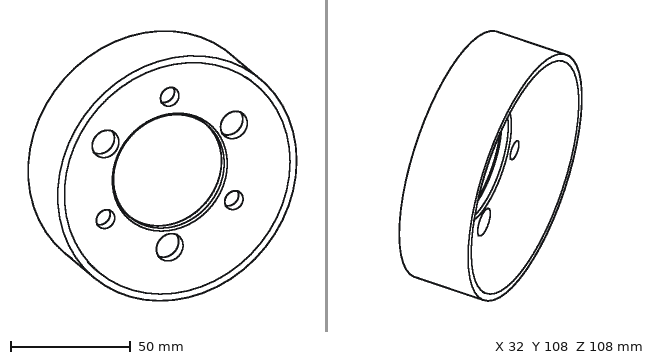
import cadquery as cq

outer_diameter = 108.0
width = 32.0
rim_thickness = 3.0
web_thickness = 5.0
front_cavity_depth = 19.0
corner_fillet = 2.0

bore_diameter = 50.0
bore_chamfer = 1.0

bolt_circle_radius = 33.5
large_hole_diameter = 12.0
small_hole_diameter = 8.2
holes_per_size = 3
large_hole_start_angle = -90
small_hole_start_angle = 90

cavity_diameter = outer_diameter - 2 * rim_thickness
web_back = front_cavity_depth + web_thickness
back_cavity_depth = width - web_back


def cylinder(diameter, length, start=0):
    """Cylinder along +X from X = start."""
    return cq.Workplane("YZ").workplane(offset=start).circle(diameter / 2).extrude(length)


def hole_ring(diameter, start_angle):
    """Through holes equally spaced on the bolt circle."""
    return (
        cq.Workplane("YZ")
        .polarArray(bolt_circle_radius, start_angle, 360, holes_per_size)
        .circle(diameter / 2)
        .extrude(width)
    )


def chamfer_cone(face_position, depth):
    """Cone that narrows to the bore from a web face; the sign of depth sets its direction along X."""
    return (
        cq.Workplane("YZ")
        .workplane(offset=face_position)
        .circle(bore_diameter / 2 + bore_chamfer)
        .workplane(offset=depth)
        .circle(bore_diameter / 2)
        .loft()
    )


front_cavity = cylinder(cavity_diameter, front_cavity_depth).faces(">X").edges().fillet(corner_fillet)
back_cavity = (
    cylinder(cavity_diameter, back_cavity_depth, web_back).faces("<X").edges().fillet(corner_fillet)
)
body = cylinder(outer_diameter, width).cut(front_cavity).cut(back_cavity)

bore_cutter = cylinder(bore_diameter, web_thickness, front_cavity_depth)
front_chamfer = chamfer_cone(front_cavity_depth, bore_chamfer)
back_chamfer = chamfer_cone(web_back, -bore_chamfer)
bored_body = body.cut(bore_cutter).cut(front_chamfer).cut(back_chamfer)

result = bored_body.cut(hole_ring(large_hole_diameter, large_hole_start_angle)).cut(
    hole_ring(small_hole_diameter, small_hole_start_angle)
)